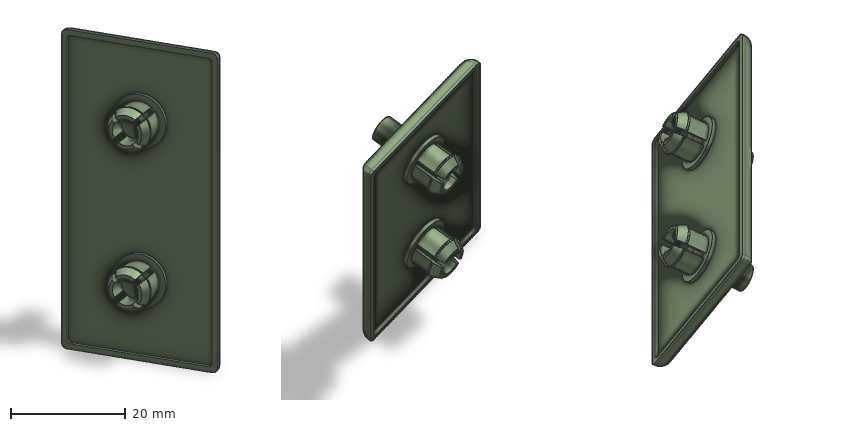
import cadquery as cq

plate_width = 30.0
plate_height = 60.0
plate_thickness = 3.0
back_edge_radius = 2.45
corner_radius = 1.0

rim_width = 1.0
recess_depth = 0.7
recess_corner_radius = 0.7

set_spacing = plate_height / 2
pin_diameter = 5.0
back_pin_length = 7.0
boss_diameter = 10.0

clip_length = 6.0
clip_diameter = 7.5
bore_diameter = pin_diameter
lip_diameter = 8.15
lip_start = 4.0
lip_end = 4.4
tip_diameter = 6.35
slot_width = 1.0
slot_angles = (45, 135)

guide_straight_length = 2.0
guide_length = 3.0
guide_tip_diameter = 4.0


def make_plate():
    plate = (
        cq.Workplane("XY")
        .box(plate_width, plate_thickness, plate_height)
        .translate((0, plate_thickness / 2, 0))
    )
    plate = plate.faces(">Y").edges().fillet(back_edge_radius)
    plate = plate.edges("|Y").fillet(corner_radius)
    recess = (
        cq.Workplane("XY")
        .box(plate_width - 2 * rim_width, recess_depth, plate_height - 2 * rim_width)
        .edges("|Y")
        .fillet(recess_corner_radius)
        .translate((0, recess_depth / 2, 0))
    )
    return plate.cut(recess)


def revolve_about_y(points):
    """Revolve an outline of (radius, y) points around the Y axis."""
    return cq.Workplane("XY").polyline(points).close().revolve(360, (0, 0), (0, 1))


def make_clip():
    bore_radius = bore_diameter / 2
    clip_radius = clip_diameter / 2
    lip_radius = lip_diameter / 2
    clip = revolve_about_y([
        (bore_radius, 0),
        (clip_radius, 0),
        (clip_radius, -lip_start),
        (lip_radius, -lip_start),
        (lip_radius, -lip_end),
        (tip_diameter / 2, -clip_length),
        (bore_radius, -clip_length),
    ])
    slot = (
        cq.Workplane("XY")
        .box(2 * lip_diameter, clip_length, slot_width)
        .translate((0, -clip_length / 2, 0))
    )
    for angle in slot_angles:
        clip = clip.cut(slot.rotate((0, 0, 0), (0, 1, 0), angle))
    return clip


def make_pin_set():
    pin_radius = pin_diameter / 2
    boss = revolve_about_y([
        (0, 0),
        (boss_diameter / 2, 0),
        (boss_diameter / 2, recess_depth),
        (0, recess_depth),
    ])
    pin = revolve_about_y([
        (0, plate_thickness + back_pin_length),
        (pin_radius, plate_thickness + back_pin_length),
        (pin_radius, -guide_straight_length),
        (guide_tip_diameter / 2, -guide_length),
        (0, -guide_length),
    ])
    return boss.union(pin).union(make_clip())


result = make_plate()
for z in (-set_spacing / 2, set_spacing / 2):
    result = result.union(make_pin_set().translate((0, 0, z)))